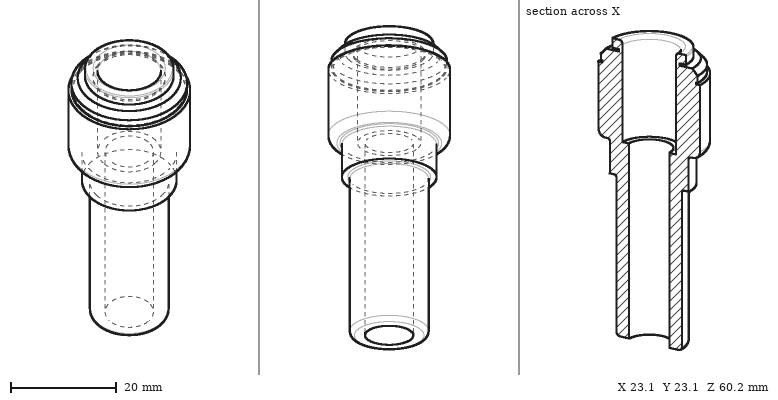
import cadquery as cq

length = 60.2
stem_diameter = 15.0
shoulder_diameter = 18.0
body_diameter = 23.1
cap_diameter = 22.0
cap_top_diameter = 19.55
cap_neck_diameter = 21.4
collar_diameter = 16.85
collar_neck_diameter = 13.7
socket_diameter = 12.0
bore_diameter = 9.15

collar_height = 2.05
collar_gap = 0.35
cap_height = 2.7
cap_bevel_height = 1.25
cap_gap = 0.3
body_height = 15.2
shoulder_height = 7.05

body_fillet = 1.6
stem_end_fillet = 0.9
root_fillet = 0.35
collar_fillet = 0.25
socket_mouth_fillet = 0.85

collar_bottom = length - collar_height
cap_top = collar_bottom - collar_gap
cap_bottom = cap_top - cap_height
body_top = cap_bottom - cap_gap
body_bottom = body_top - body_height
shoulder_bottom = body_bottom - shoulder_height
socket_floor = body_bottom


def cylinder(diameter, bottom, top):
    """Solid cylinder on the Z axis between two heights."""
    return cq.Workplane("XY").workplane(offset=bottom).circle(diameter / 2).extrude(top - bottom)


def root_flare(diameter, top):
    """Root blend: a concave quarter-round below a downward face."""
    radius = diameter / 2
    bottom = top - root_fillet
    middle = root_fillet * (1 - 0.5**0.5)
    return (
        cq.Workplane("XZ")
        .moveTo(0, bottom)
        .lineTo(radius, bottom)
        .threePointArc((radius + middle, top - middle), (radius + root_fillet, top))
        .lineTo(0, top)
        .close()
        .revolve(360, (0, 0), (0, 1))
    )


stem = cylinder(stem_diameter, 0, shoulder_bottom).faces("<Z").edges().fillet(stem_end_fillet)
shoulder = cylinder(shoulder_diameter, shoulder_bottom, body_bottom)
body = cylinder(body_diameter, body_bottom, body_top).faces("<Z").edges().fillet(body_fillet)

cap_bevel_width = (cap_diameter - cap_top_diameter) / 2
cap_neck = cylinder(cap_neck_diameter, body_top, cap_bottom)
cap = cylinder(cap_diameter, cap_bottom, cap_top)
cap = cap.faces(">Z").edges().chamfer(cap_bevel_height, cap_bevel_width)

collar_neck = cylinder(collar_neck_diameter, cap_top, collar_bottom)
collar = cylinder(collar_diameter, collar_bottom, length).edges("%CIRCLE").fillet(collar_fillet)

result = stem.union(root_flare(stem_diameter, shoulder_bottom)).union(shoulder)
result = result.union(root_flare(shoulder_diameter, body_bottom)).union(body)
for section in (cap_neck, cap, collar_neck, collar):
    result = result.union(section)

result = result.cut(cylinder(bore_diameter, 0, length))
result = result.cut(cylinder(socket_diameter, socket_floor, length))
socket_rim = cq.selectors.RadiusNthSelector(0)
result = result.faces(">Z").edges(socket_rim).fillet(socket_mouth_fillet)